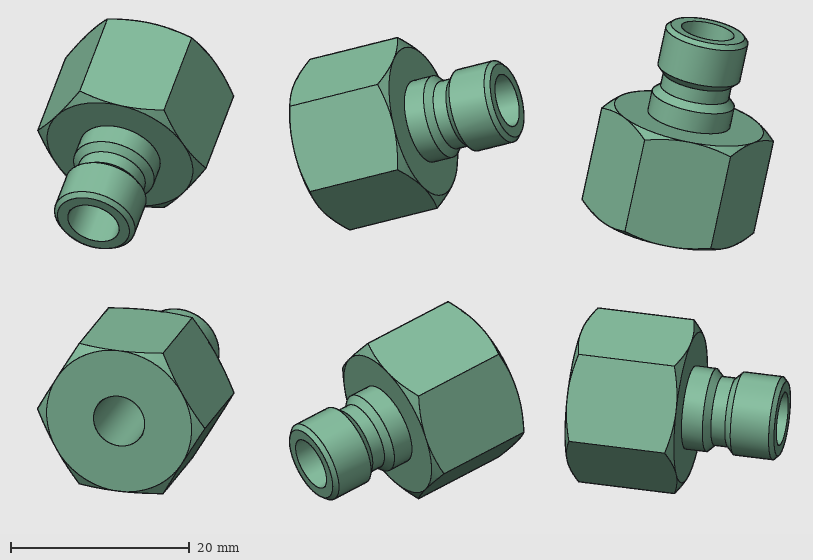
import cadquery as cq
import math

hex_sides = 6
across_flats = 17.0
hex_length = 12.5
hex_chamfer_angle = 30.0
flat_radius = across_flats / 2
corner_radius = flat_radius / math.cos(math.pi / hex_sides)
hex_chamfer_depth = (corner_radius - flat_radius) * math.tan(math.radians(hex_chamfer_angle))

spigot_radius = 9.4 / 2
spigot_length = 10.5
tip_chamfer = 0.5
groove_radius = 7.8 / 2
groove_start = 2.4
groove_floor = 1.6
groove_slope = spigot_radius - groove_radius

bore_radius = 6.0 / 2


def revolve_about_y(points):
    """Turn a closed outline of (radius, y) points into a solid of revolution."""
    return cq.Workplane("XY").polyline(points).close().revolve(360, (0, 0, 0), (0, 1, 0))


def make_hex_body():
    """Hexagonal prism from y = 0 to hex_length, corners chamfered at both ends."""
    prism = (
        cq.Workplane("XZ")
        .polygon(hex_sides, 2 * corner_radius)
        .extrude(-hex_length)
    )
    chamfer_envelope = revolve_about_y([
        (0, 0),
        (flat_radius, 0),
        (corner_radius, hex_chamfer_depth),
        (corner_radius, hex_length - hex_chamfer_depth),
        (flat_radius, hex_length),
        (0, hex_length),
    ])
    return prism.intersect(chamfer_envelope)


def make_spigot():
    """Round spigot with a locking groove with sloped flanks and a chamfered tip."""
    floor_start = groove_start + groove_slope
    floor_end = floor_start + groove_floor
    groove_end = floor_end + groove_slope
    return revolve_about_y([
        (0, 0),
        (spigot_radius, 0),
        (spigot_radius, -groove_start),
        (groove_radius, -floor_start),
        (groove_radius, -floor_end),
        (spigot_radius, -groove_end),
        (spigot_radius, -spigot_length + tip_chamfer),
        (spigot_radius - tip_chamfer, -spigot_length),
        (0, -spigot_length),
    ])


def make_bore():
    """Through bore along the full length of the part."""
    return (
        cq.Workplane("XZ", origin=(0, hex_length, 0))
        .circle(bore_radius)
        .extrude(hex_length + spigot_length)
    )


result = make_hex_body().union(make_spigot()).cut(make_bore())